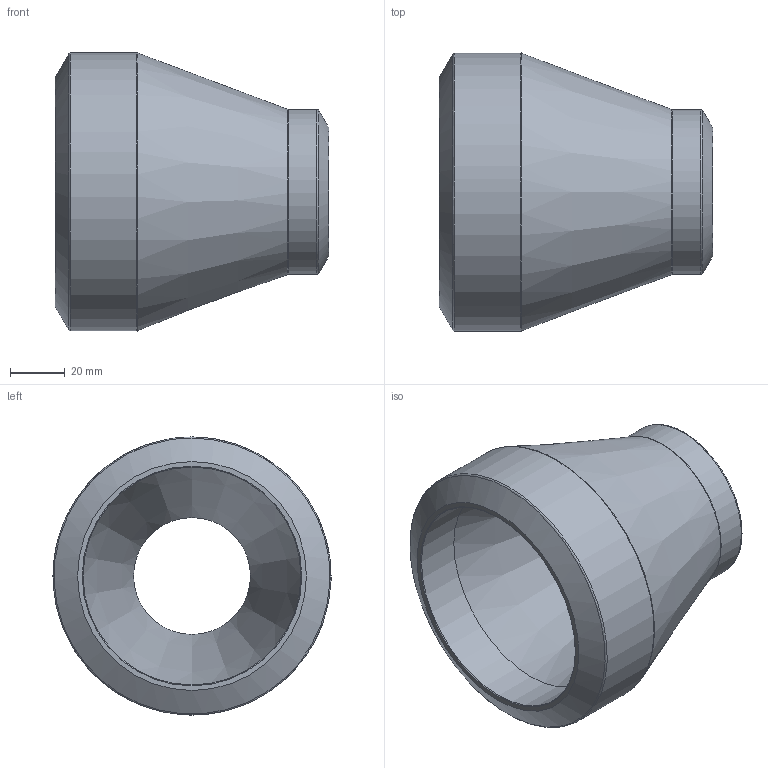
import cadquery as cq
import math

length = 100.0
large_outer_diameter = 101.6
large_bore_diameter = 79.6
small_outer_diameter = 60.3
small_bore_diameter = 42.7

large_straight_length = 30.0
small_straight_length = 15.0
large_bore_length = 17.0
small_bore_length = 18.0

root_face_width = 2.0
bevel_angle = 30.0

outer_edge_radius = 0.8
bore_mouth_radius = 0.3

large_outer_radius = large_outer_diameter / 2
large_bore_radius = large_bore_diameter / 2
small_outer_radius = small_outer_diameter / 2
small_bore_radius = small_bore_diameter / 2

radius_tolerance = 1e-4


def bevel_length(outer_radius, bore_radius):
    """Axial length of the bevel from the root face out to the outer wall."""
    bevel_height = outer_radius - bore_radius - root_face_width
    return bevel_height * math.tan(math.radians(bevel_angle))


def make_reducer():
    """Revolve the wall section of the concentric reducer around the X axis."""
    large_bevel = bevel_length(large_outer_radius, large_bore_radius)
    small_bevel = bevel_length(small_outer_radius, small_bore_radius)
    wall_section = [
        (0, large_bore_radius),
        (0, large_bore_radius + root_face_width),
        (large_bevel, large_outer_radius),
        (large_straight_length, large_outer_radius),
        (length - small_straight_length, small_outer_radius),
        (length - small_bevel, small_outer_radius),
        (length, small_bore_radius + root_face_width),
        (length, small_bore_radius),
        (length - small_bore_length, small_bore_radius),
        (large_bore_length, large_bore_radius),
    ]
    return cq.Workplane("XZ").polyline(wall_section).close().revolve(360, (0, 0, 0), (1, 0, 0))


def circles_of_radius(edges, radius):
    """Keep only the circular edges that have the given radius."""
    return edges.filter(
        lambda edge: edge.geomType() == "CIRCLE"
        and math.isclose(edge.radius(), radius, abs_tol=radius_tolerance)
    )


def round_outer_edges(body):
    """Round both ends of each outer cylinder, where it meets bevel and cone."""
    for radius in (large_outer_radius, small_outer_radius):
        body = circles_of_radius(body.edges(), radius).fillet(outer_edge_radius)
    return body


def round_bore_mouths(body):
    """Round the edge between each flat root face and its bore."""
    for end_face, radius in (("<X", large_bore_radius), (">X", small_bore_radius)):
        body = circles_of_radius(body.faces(end_face).edges(), radius).fillet(bore_mouth_radius)
    return body


reducer = make_reducer()
reducer = round_outer_edges(reducer)
result = round_bore_mouths(reducer)